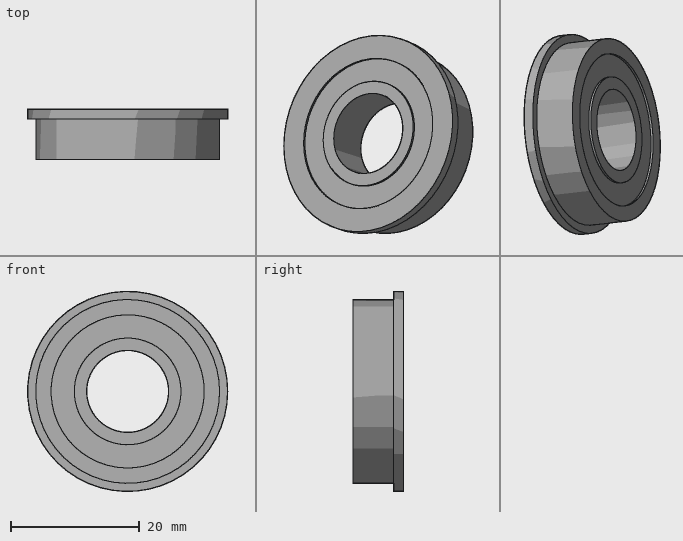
import cadquery as cq

flange_diameter = 31.15
flange_thickness = 1.55
body_diameter = 28.6
width = 7.88
bore_diameter = 12.7

recess_outer_diameter = 23.82
recess_inner_diameter = 16.6
recess_depth = 0.37


def ring(outer_diameter, inner_diameter, start_y, length):
    """Ring around the Y axis, running from start_y toward +Y."""
    return (
        cq.Workplane("XZ", origin=(0, start_y, 0))
        .circle(outer_diameter / 2)
        .circle(inner_diameter / 2)
        .extrude(-length)
    )


front_y = -width / 2
back_y = width / 2

body = ring(body_diameter, bore_diameter, front_y, width)
flange = ring(flange_diameter, bore_diameter, back_y - flange_thickness, flange_thickness)
result = body.union(flange)

for recess_start in (front_y, back_y - recess_depth):
    result = result.cut(
        ring(recess_outer_diameter, recess_inner_diameter, recess_start, recess_depth)
    )